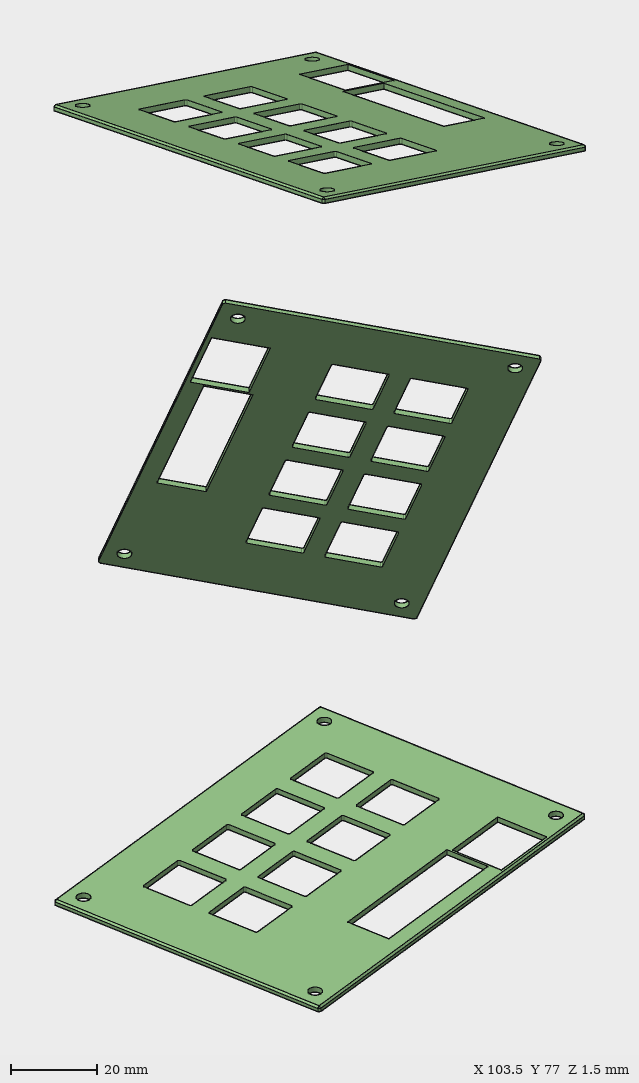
import cadquery as cq

plate_length = 103.5
plate_width = 77.0
plate_thickness = 1.5
edge_chamfer = 0.5

screw_hole_diameter = 3.4
screw_hole_inset = 5.0

key_columns = 4
key_rows = 2
key_pitch = 19.0
key_opening_size = 14.0
key_corner_radius = 0.4
key_grid_center = (-0.7, -8.8)

display_size = (38.5, 11.9)
display_center = (-0.6, 27.9)
controller_size = (17.6, 14.2)
controller_center = (-29.3, 30.2)


def make_plate():
    """Flat plate with its upper rim and upright corners chamfered."""
    return (
        cq.Workplane("XY")
        .rect(plate_length, plate_width)
        .extrude(plate_thickness)
        .edges("|Z or >Z")
        .chamfer(edge_chamfer)
    )


def through_window(size, center):
    """Rectangular cutter as tall as the plate."""
    return cq.Workplane("XY").center(*center).rect(*size).extrude(plate_thickness)


def screw_holes():
    """Four through-hole cutters, equally inset from the plate sides."""
    spacing_x = plate_length - 2 * screw_hole_inset
    spacing_y = plate_width - 2 * screw_hole_inset
    return (
        cq.Workplane("XY")
        .rect(spacing_x, spacing_y, forConstruction=True)
        .vertices()
        .circle(screw_hole_diameter / 2)
        .extrude(plate_thickness)
    )


def key_openings():
    """Grid of square cutters with rounded corners."""
    return (
        cq.Workplane("XY")
        .center(*key_grid_center)
        .rarray(key_pitch, key_pitch, key_columns, key_rows)
        .rect(key_opening_size, key_opening_size)
        .extrude(plate_thickness)
        .edges("|Z")
        .fillet(key_corner_radius)
    )


result = (
    make_plate()
    .cut(screw_holes())
    .cut(key_openings())
    .cut(through_window(display_size, display_center))
    .cut(through_window(controller_size, controller_center))
)